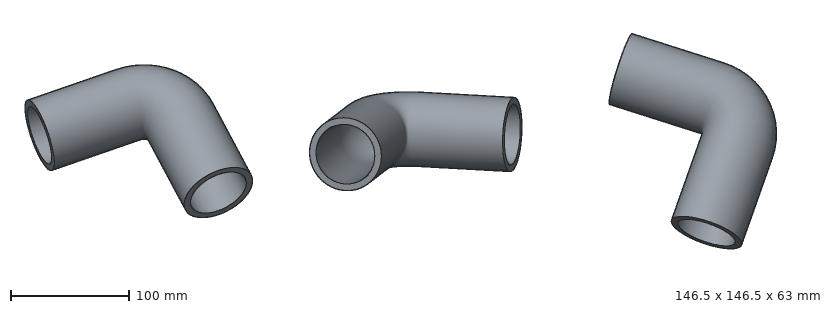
import cadquery as cq
import math

overall_length = 146.5
outer_diameter = 63.0
bore_diameter = 51.4
bend_radius = 33.3

leg_length = overall_length - bend_radius - outer_diameter / 2

bend_mid_offset = bend_radius * (1 - math.sqrt(0.5))
leg_end = bend_radius + leg_length
centreline = (
    cq.Workplane("XY")
    .moveTo(0, -leg_end)
    .lineTo(0, -bend_radius)
    .threePointArc((bend_mid_offset, -bend_mid_offset), (bend_radius, 0))
    .lineTo(leg_end, 0)
)

result = (
    cq.Workplane("XZ", origin=(0, -leg_end, 0))
    .circle(outer_diameter / 2)
    .circle(bore_diameter / 2)
    .sweep(centreline)
)